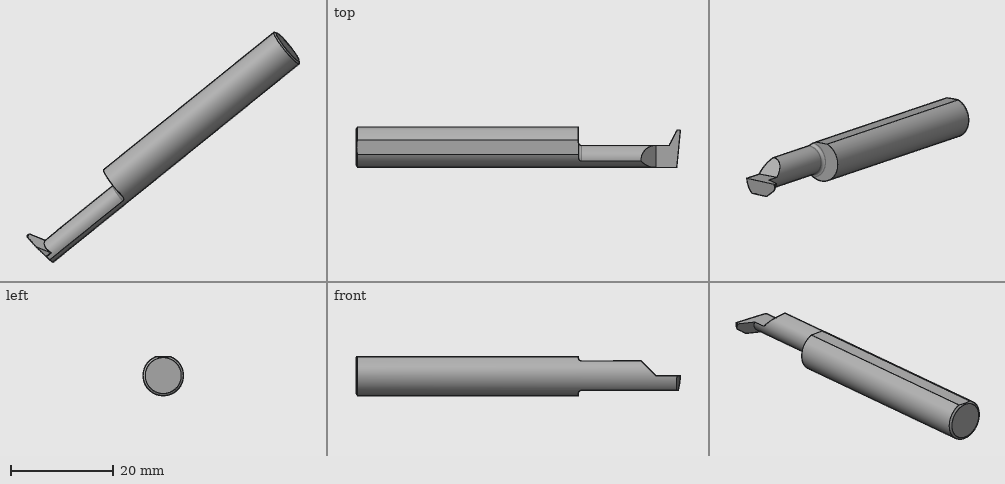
import cadquery as cq
import math


def tan(degrees):
    return math.tan(math.radians(degrees))


def cos(degrees):
    return math.cos(math.radians(degrees))


shank_radius = 3.969
shank_length = 43.5
flat_height = 3.715
end_chamfer_length = 0.3
end_chamfer_depth = 0.45

overall_length = 63.46
neck_radius = 2.9
neck_axis_y = -2.53
neck_side_y = neck_axis_y + neck_radius
root_fillet = 0.6

ramp_end_x = 58.65
front_angle = 5.6
front_relief_angle = 4

nose_y = 3.38
nose_radius = 0.2
tooth_foot_x = 61.23
flank_angle = 27.5
flank_relief_angle = 24

front_x = (
    overall_length - nose_radius + nose_radius / cos(front_angle)
    - (nose_y - nose_radius) * tan(front_angle)
)


def x_cylinder(radius, axis_y, start_x, end_x):
    """Cylinder along X between two X positions."""
    plane = cq.Workplane("YZ", origin=(start_x, axis_y, 0))
    return plane.circle(radius).extrude(end_x - start_x)


def relief_cutter(point, plan_angle, relief_angle):
    """Block on the local +X side of a tilted plane.

    The plane passes through the point and leans from vertical by the relief
    angle; its outward direction is turned about Z by the plan angle.
    """
    size = overall_length
    block = cq.Workplane("XY").box(size, size, size, centered=(False, True, True))
    tilted = block.rotate((0, 0, 0), (0, 1, 0), relief_angle)
    return tilted.rotate((0, 0, 0), (0, 0, 1), plan_angle).translate(point)


def make_shank():
    chamfered_radius = shank_radius - end_chamfer_depth
    profile = [
        (0, 0),
        (0, chamfered_radius),
        (end_chamfer_length, shank_radius),
        (shank_length, shank_radius),
        (shank_length, 0),
    ]
    bar = cq.Workplane("XY").polyline(profile).close().revolve(360, (0, 0), (1, 0))
    above_flat = cq.Workplane("XY").box(
        shank_length, 2 * shank_radius, shank_radius, centered=(True, True, False)
    )
    return bar.cut(above_flat.translate((shank_length / 2, 0, flat_height)))


def make_neck():
    """Neck running to the tip, flared by a fillet where it meets the shank."""
    arc_offset = root_fillet * (1 - math.sqrt(0.5))
    profile = (
        cq.Workplane("XY", origin=(0, neck_axis_y, 0))
        .moveTo(shank_length, 0)
        .lineTo(shank_length, neck_radius + root_fillet)
        .threePointArc(
            (shank_length + arc_offset, neck_radius + arc_offset),
            (shank_length + root_fillet, neck_radius),
        )
        .lineTo(overall_length, neck_radius)
        .lineTo(overall_length, 0)
        .close()
    )
    neck = profile.revolve(360, (0, 0), (1, 0))
    return neck.intersect(x_cylinder(shank_radius, 0, shank_length, overall_length))


def cut_rake_face(neck):
    """Remove everything above the rake face and its 45 degree ramp."""
    clearance = 2 * shank_radius
    profile = [
        (ramp_end_x, 0),
        (overall_length, 0),
        (overall_length, clearance),
        (ramp_end_x - clearance, clearance),
    ]
    plane = cq.Workplane("XZ")
    return neck.cut(plane.polyline(profile).close().extrude(clearance, both=True))


def make_tooth():
    """Tooth with a rounded nose, an arched underside and a relieved flank."""
    root_y = neck_axis_y
    flank_slope = tan(flank_angle)
    outline = [
        (tooth_foot_x + (root_y - neck_side_y) * flank_slope, root_y),
        (tooth_foot_x + (nose_y - neck_side_y) * flank_slope, nose_y),
        (front_x + nose_y * tan(front_angle), nose_y),
        (front_x + root_y * tan(front_angle), root_y),
    ]
    tooth = cq.Workplane("XY").polyline(outline).close().extrude(-neck_radius)
    tooth = tooth.faces(">Y").edges("|Z").fillet(nose_radius)
    underside = x_cylinder(nose_y, 0, shank_length, overall_length)
    flank_point = (tooth_foot_x, neck_side_y, 0)
    flank = relief_cutter(flank_point, 180 - flank_angle, flank_relief_angle)
    return tooth.intersect(underside).cut(flank)


head = cut_rake_face(make_neck()).union(make_tooth())
head = head.cut(relief_cutter((front_x, 0, 0), -front_angle, front_relief_angle))
result = make_shank().union(head)